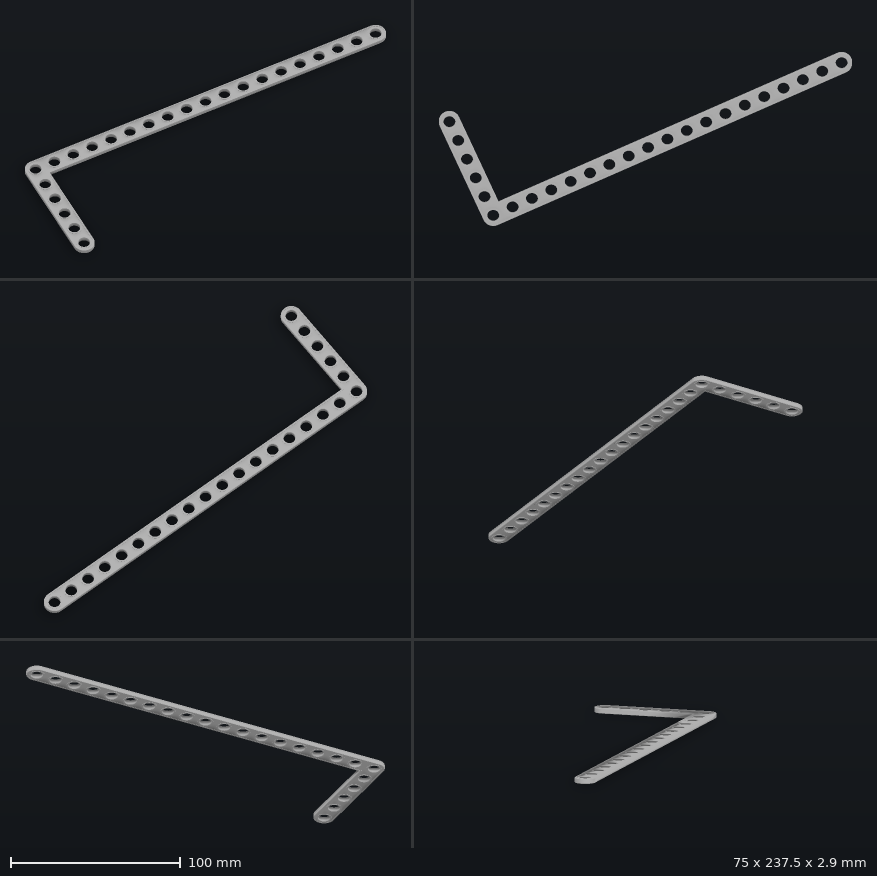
import cadquery as cq

length = 237.5
long_arm_holes = 19
short_arm_holes = 6
web_thickness = 2.5
recess_depth = 0.2
rim_width = 1.1
boss_inset = 1.7
boss_wall = 1.1
edge_chamfer = 0.2

pitch = length / long_arm_holes
bar_width = pitch
thickness = web_thickness + 2 * recess_depth
boss_diameter = bar_width - 2 * boss_inset
hole_diameter = boss_diameter - 2 * boss_wall
recess_width = bar_width - 2 * rim_width

long_arm_centres = [(0, i * pitch) for i in range(long_arm_holes)]
short_arm_centres = [(i * pitch, 0) for i in range(1, short_arm_holes)]
hole_centres = long_arm_centres + short_arm_centres


def round_ended_bar(hole_count, angle, width, height):
    """Flat bar with its first hole centre at the origin, pointing at the given angle."""
    centre_span = (hole_count - 1) * pitch
    return (
        cq.Workplane("XY")
        .center(centre_span / 2, 0)
        .slot2D(centre_span + width, width)
        .extrude(height)
        .rotate((0, 0, 0), (0, 0, 1), angle)
    )


def angle_plate(width, height):
    """L-shaped plate of the given arm width, standing on the XY plane."""
    long_arm = round_ended_bar(long_arm_holes, 90, width, height)
    short_arm = round_ended_bar(short_arm_holes, 0, width, height)
    return long_arm.union(short_arm).clean()


def discs(diameter, height):
    """A round disc at every hole centre, standing on the XY plane."""
    return cq.Workplane("XY").pushPoints(hole_centres).circle(diameter / 2).extrude(height)


lower_recess = angle_plate(recess_width, recess_depth).cut(discs(boss_diameter, recess_depth))
upper_recess = lower_recess.translate((0, 0, thickness - recess_depth))

pierced_plate = angle_plate(bar_width, thickness).cut(discs(hole_diameter, thickness))
chamfered_plate = pierced_plate.faces("<Z or >Z").chamfer(edge_chamfer)
result = chamfered_plate.cut(lower_recess).cut(upper_recess)